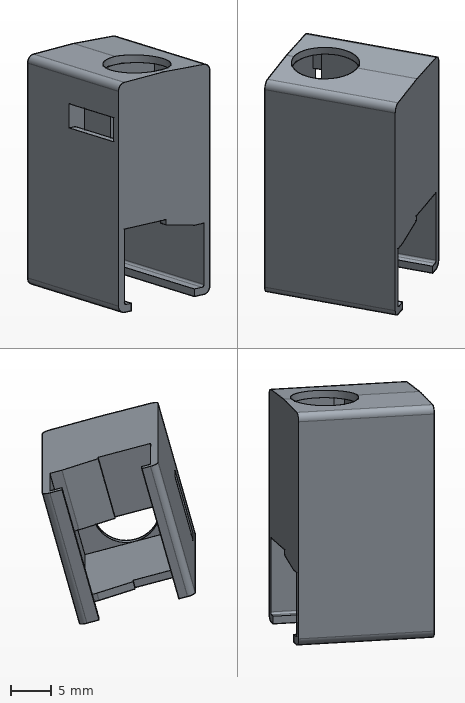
import cadquery as cq

length = 17.5
width = 15.0
height = 30.0
wall = 1.0
edge_radius = 1.0
ridge_drop = 0.25

roof_z = 10.8
step_y = 0.27
step_z = 10.15
ramp_end_y = 4.95
ledge_z = 9.25
back_lip_y = 4.95
front_lip_y = -5.37
inner_radius = 0.3

hole_diameter = 8.5
hole_x = 3.5
top_plate = 1.08

window_bottom = 22.08
window_height = 3.12
rib_width = 5.0
rib_depth = 1.5

half_width = width / 2
inner_y = half_width - wall


def make_body():
    """Gabled prism with rounded long edges, centred on X and Y."""
    shoulder_z = height - ridge_drop
    outline = [
        (-half_width, 0),
        (half_width, 0),
        (half_width, shoulder_z),
        (0, height),
        (-half_width, shoulder_z),
    ]
    prism = cq.Workplane("YZ").polyline(outline).close().extrude(length / 2, both=True)
    long_edges = prism.edges("|X and (<Y or >Y)")
    return long_edges.fillet(edge_radius)


def make_channel():
    """Stepped channel with a narrower mouth between two lips."""
    outline = [
        (-inner_y, wall),
        (-inner_y, roof_z),
        (step_y, roof_z),
        (step_y, step_z),
        (ramp_end_y, ledge_z),
        (inner_y, ledge_z),
        (inner_y, wall),
    ]
    channel = cq.Workplane("YZ").polyline(outline).close().extrude(length / 2, both=True)
    channel = channel.edges("|X and <Z").fillet(inner_radius)
    mouth = cq.Workplane("XY").box(
        length, back_lip_y - front_lip_y, 2 * wall, centered=(True, False, True)
    ).translate((0, front_lip_y, wall / 2))
    return channel.union(mouth)


def make_chamber():
    """Rectangular chamber under the top plate, opening into the channel, less the rib."""
    chamber_height = height - top_plate - ledge_z
    chamber = cq.Workplane("XY").box(
        hole_diameter, 2 * inner_y, chamber_height, centered=(True, True, False)
    )
    rib = cq.Workplane("XY").box(
        rib_width, rib_depth, chamber_height, centered=(True, False, False)
    ).translate((0, -inner_y, 0))
    return chamber.cut(rib).translate((hole_x, 0, ledge_z))


def make_top_hole():
    hole = cq.Workplane("XY").circle(hole_diameter / 2).extrude(height - roof_z)
    return hole.translate((hole_x, 0, roof_z))


def make_window():
    window = cq.Workplane("XY").box(
        hole_diameter, wall, window_height, centered=(True, False, False)
    )
    return window.translate((hole_x, -half_width, window_bottom))


result = (
    make_body()
    .cut(make_channel())
    .cut(make_chamber())
    .cut(make_top_hole())
    .cut(make_window())
)